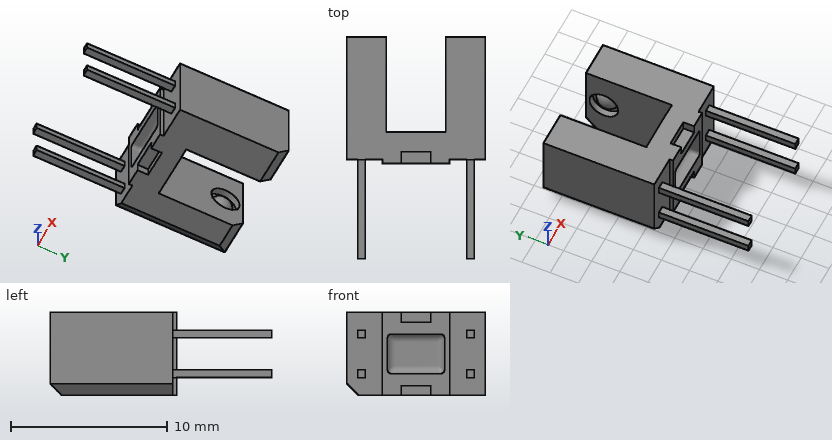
import cadquery as cq

BODY_WIDTH = 8.89
BODY_DEPTH = 7.874
BODY_HEIGHT = 5.334
SLOT_WIDTH = 3.81
SLOT_DEPTH = 6.096
KEY_CHAMFER = 0.762

PAD_WIDTH = 4.318
PAD_THICKNESS = 0.254
NOTCH_WIDTH = 1.905
NOTCH_HEIGHT = 0.635
NOTCH_DEPTH = 0.762

RECESS_WIDTH = 3.66
RECESS_HEIGHT = 2.54
RECESS_DEPTH = 1.016
RECESS_FLOOR_RADIUS = 0.508
RECESS_CORNER_RADIUS = 0.254

PIN_SIZE = 0.508
PIN_LENGTH = 6.35
PIN_SPACING_X = 6.985
PIN_SPACING_Z = 2.54

WINDOW_FROM_TIP = 1.27
WINDOW_RADIUS = 1.016
WINDOW_DEPTH = 0.48
LENS_RADIUS = 0.762
LENS_RISE = 0.47

PAD_FACE_Y = -PAD_THICKNESS


def make_box(x_size, y_start, y_end, z_size, x_centre=0, z_centre=0):
    """Box centred at (x_centre, z_centre), running from y_start to y_end."""
    y_size = y_end - y_start
    box = cq.Workplane("XY").box(x_size, y_size, z_size)
    return box.translate((x_centre, y_start + y_size / 2, z_centre))


def make_housing():
    """U-shaped block with its pad; the lower -X and lower +Y edges are chamfered."""
    block = make_box(BODY_WIDTH, 0, BODY_DEPTH, BODY_HEIGHT)
    block = block.edges("<Z and (<X or >Y)").chamfer(KEY_CHAMFER)
    pad = make_box(PAD_WIDTH, PAD_FACE_Y, BODY_DEPTH - SLOT_DEPTH, BODY_HEIGHT)
    slot = make_box(SLOT_WIDTH, BODY_DEPTH - SLOT_DEPTH, BODY_DEPTH, BODY_HEIGHT)
    return block.union(pad).cut(slot)


def make_notches():
    z_centre = (BODY_HEIGHT - NOTCH_HEIGHT) / 2
    notch_end = PAD_FACE_Y + NOTCH_DEPTH
    upper = make_box(NOTCH_WIDTH, PAD_FACE_Y, notch_end, NOTCH_HEIGHT, z_centre=z_centre)
    return upper.union(upper.mirror("XY"))


def make_recess():
    """Rounding the floor before the corners lets the corner rounds run out along the mitres."""
    recess = make_box(RECESS_WIDTH, PAD_FACE_Y, PAD_FACE_Y + RECESS_DEPTH, RECESS_HEIGHT)
    recess = recess.faces(">Y").edges().fillet(RECESS_FLOOR_RADIUS)
    return recess.edges("|Y").fillet(RECESS_CORNER_RADIUS)


def make_window():
    """Cavity in the +X slot wall, revolved about its X axis, leaving a domed lens."""
    wall_x = SLOT_WIDTH / 2
    floor_x = wall_x + WINDOW_DEPTH
    dome_radius = (LENS_RADIUS**2 + LENS_RISE**2) / (2 * LENS_RISE)
    dome_top_x = floor_x - LENS_RISE
    profile = (
        cq.Workplane("XY")
        .moveTo(wall_x, 0)
        .lineTo(wall_x, WINDOW_RADIUS)
        .lineTo(floor_x, WINDOW_RADIUS)
        .lineTo(floor_x, LENS_RADIUS)
        .radiusArc((dome_top_x, 0), -dome_radius)
        .close()
    )
    cavity = profile.revolve(360, (0, 0, 0), (1, 0, 0))
    return cavity.translate((0, BODY_DEPTH - WINDOW_FROM_TIP, 0))


def add_pins(part):
    for x_side in (-1, 1):
        for z_side in (-1, 1):
            pin = make_box(
                PIN_SIZE,
                -PIN_LENGTH,
                0,
                PIN_SIZE,
                x_centre=x_side * PIN_SPACING_X / 2,
                z_centre=z_side * PIN_SPACING_Z / 2,
            )
            part = part.union(pin)
    return part


window = make_window()
result = make_housing().cut(make_notches()).cut(make_recess())
result = result.cut(window).cut(window.mirror("YZ"))
result = add_pins(result)